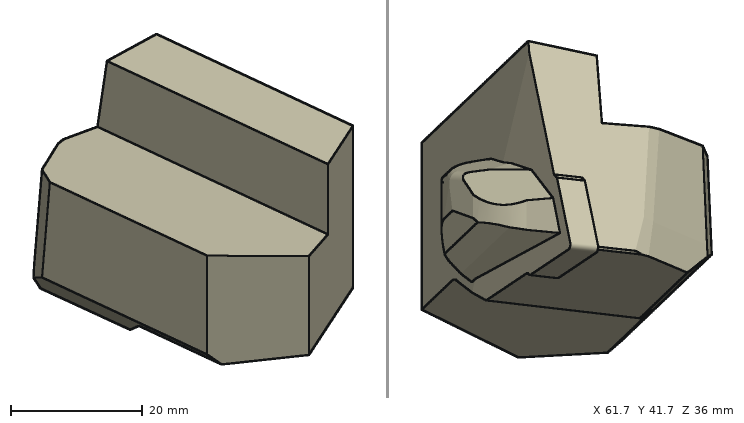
import cadquery as cq
import math

LENGTH = 61.7
TOP_Z = 36.0
BACK_Y = 34.6
RAIL_WIDTH = 11.85
SHELF_FRONT_Z = 27.2
SHELF_ANGLE = 8.0
SIDE_LOW_Z = 10.35
UNDER_CHAMFER = 10.35

TAIL_POINT_Y = 13.8
TAIL_ANGLE = 30.0

STEP_START_X = 25.4
STEP_START_Z = 0.6
STEP_HIGH_Z = 8.4
STEP_ANGLE = 35.0
STEP_RADIUS = 2.6

RELIEF_YAW = 8.0
RELIEF_PITCH = 6.0
NOSE_CORNER_X = -0.1
NOSE_CORNER_Y = 30.2
NOSE_LEAN = 10.0
STRIP_THICKNESS = 0.6
STRIP_WIDTH = 4.95
STRIP_HEIGHT = 12.95
STRIP_LENGTH = 13.3
STRIP_END_SLOPE = 0.8
STRIP_RADIUS = 0.75

FACET_SHELF = (7.65, 12.65, 25.4)
FACET_BREAK = (4.45, 14.8, 8.4)
FACET_BREAK_FRONT = (12.7, 2.65, 9.75)
FACET_BOTTOM = (2.95, 16.65, 2.15)
FRONT_SHELF = (19.0, 0.0, 27.2)
FRONT_LOW = (17.3, 0.0, 10.35)

NOSE_EDGE_SHELF = (14.5, 25.2)
NOSE_EDGE_BREAK = (16.65, 8.6)
NOSE_EDGE_BOTTOM = (18.5, 2.45)
NOSE_CHAMFER = 0.4

KNOB_RADIUS = 1.85
KNOB_END_X = 29.25
KNOB_BACK_Y = 41.65
KNOB_TOP_Z = 22.85
KNOB_ROOT_Y = 30.85

KNOB_BELLY = [(KNOB_ROOT_Y, 3.35), (36.6, 5.85), (39.85, 8.15), (41.45, 12.2), (KNOB_BACK_Y, 16.65)]
KNOB_CROWN_MIDDLE = (40.25, 20.7)
KNOB_CROWN_END = (36.4, 22.6)

KNOB_TIP = (2.5, KNOB_ROOT_Y)
KNOB_NOSE_START = (7.0, BACK_Y)
KNOB_NOSE_MIDDLE = (9.9, 37.35)
KNOB_NOSE_END = (14.8, 40.25)
KNOB_PEAK = (21.0, KNOB_BACK_Y)
KNOB_BEND_START = (23.75, 41.45)
KNOB_BEND_MIDDLE = (26.35, 40.7)
KNOB_BEND_END = (28.2, 38.9)

SLOPE_LOW_BACK = (14.45, 37.6, 17.4)
SLOPE_HIGH_BACK = (21.0, 38.9, 21.05)
SLOPE_LOW_ROOT = (14.4, 34.8, 18.7)
SLOPE_LOW_EDGE = (14.6, 40.2, 16.3)
SLOPE_BACK_EDGE = (17.45, 40.85, 17.35)
SLOPE_TOP_EDGE = (23.0, 39.6, 20.8)
SHOULDER_ROOT = (9.7, 33.3, 17.05)
CHIN_ROOT = (3.5, 31.65, 9.45)
CHIN_BACK = (9.25, 36.9, 9.55)

REACH = 123.4

yaw = math.radians(RELIEF_YAW)
pitch = math.radians(RELIEF_PITCH)
relief = cq.Plane(
    origin=(NOSE_CORNER_X, NOSE_CORNER_Y, 0),
    xDir=(math.cos(yaw), math.sin(yaw), 0),
    normal=(math.sin(yaw) * math.cos(pitch), -math.cos(yaw) * math.cos(pitch), math.sin(pitch)),
)


def nearest(point):
    return cq.selectors.NearestToPointSelector(point)


def trim(body, a, b, c, keep):
    """Cut the body along the plane through a, b and c, keeping the side of the point keep."""
    origin, second, third, inside = (cq.Vector(*p) for p in (a, b, c, keep))
    normal = (second - origin).cross(third - origin)
    if normal.dot(inside - origin) > 0:
        normal = normal * -1
    plane = cq.Plane(origin=origin, xDir=second - origin, normal=normal)
    return body.cut(cq.Workplane(plane).rect(2 * REACH, 2 * REACH).extrude(REACH))


def make_cross_section():
    rail_y = BACK_Y - RAIL_WIDTH
    shelf_back_z = SHELF_FRONT_Z - rail_y * math.tan(math.radians(SHELF_ANGLE))
    points = [
        (0, SIDE_LOW_Z), (0, SHELF_FRONT_Z), (rail_y, shelf_back_z), (rail_y, TOP_Z),
        (BACK_Y, TOP_Z), (BACK_Y, SIDE_LOW_Z - UNDER_CHAMFER), (UNDER_CHAMFER, SIDE_LOW_Z - UNDER_CHAMFER),
    ]
    return cq.Workplane("YZ").polyline(points).close().extrude(LENGTH)


def make_tail_outline():
    slope = math.tan(math.radians(TAIL_ANGLE))
    points = [
        (0, 0), (LENGTH - TAIL_POINT_Y * slope, 0), (LENGTH, TAIL_POINT_Y),
        (LENGTH - (BACK_Y - TAIL_POINT_Y) * slope, BACK_Y), (0, BACK_Y),
    ]
    return cq.Workplane("XY").polyline(points).close().extrude(TOP_Z)


def make_underside_step():
    """Material removed below the tail, with a rounded top to its ramp."""
    run = (STEP_HIGH_Z - STEP_START_Z) / math.tan(math.radians(STEP_ANGLE))
    drop = REACH * math.tan(math.radians(STEP_ANGLE))
    bend_x = STEP_START_X + run
    points = [(bend_x, STEP_HIGH_Z), (bend_x + REACH, STEP_HIGH_Z),
              (bend_x + REACH, STEP_HIGH_Z - drop), (bend_x - REACH, STEP_HIGH_Z - drop)]
    step = cq.Workplane("XZ").polyline(points).close().extrude(REACH, both=True)
    bend = nearest((bend_x, 0, STEP_HIGH_Z))
    return step.edges(bend).fillet(STEP_RADIUS)


def nose_x(height, offset):
    """Position of the leaning nose face, offset inwards, on the relief plane."""
    lean = math.radians(NOSE_LEAN)
    return height * math.tan(lean) + offset / math.cos(lean)


def nose_point(y, z):
    """Point of the block's nose face at the given Y and Z."""
    lean = math.radians(NOSE_LEAN)
    normal = relief.xDir * math.cos(lean) - relief.yDir * math.sin(lean)
    x = (STRIP_THICKNESS - normal.y * (y - NOSE_CORNER_Y) - normal.z * z) / normal.x + NOSE_CORNER_X
    return (x, y, z)


def make_nose_prism():
    t = STRIP_THICKNESS
    chamfer_top = t + NOSE_CHAMFER
    points = [
        (nose_x(chamfer_top, t), chamfer_top), (nose_x(t, t) + NOSE_CHAMFER, t),
        (REACH, t), (REACH, REACH), (nose_x(REACH, t), REACH),
    ]
    return cq.Workplane(relief).polyline(points).close().extrude(REACH)


def make_strip():
    """L-shaped strip; its inner half is sunk into the block so that they join."""
    t = STRIP_THICKNESS
    sunk = 2 * t
    outer_top = STRIP_HEIGHT - STRIP_END_SLOPE
    points = [
        (0, 0), (STRIP_LENGTH - STRIP_END_SLOPE, 0), (STRIP_LENGTH, t),
        (STRIP_LENGTH, sunk), (nose_x(STRIP_HEIGHT, sunk), sunk),
        (nose_x(STRIP_HEIGHT, sunk), STRIP_HEIGHT),
        (nose_x(STRIP_HEIGHT, t), STRIP_HEIGHT), (nose_x(outer_top, 0), outer_top),
    ]
    strip = cq.Workplane(relief).polyline(points).close().extrude(STRIP_WIDTH)
    corner = nearest(relief.toWorldCoords((0, 0, STRIP_WIDTH / 2)).toTuple())
    return strip.edges(corner).fillet(STRIP_RADIUS)


def make_block():
    block = make_cross_section().intersect(make_tail_outline())
    block = block.intersect(make_nose_prism()).cut(make_underside_step())
    middle = (LENGTH / 2, BACK_Y / 2, TOP_Z / 2)
    facets = [
        (nose_point(*NOSE_EDGE_SHELF), nose_point(*NOSE_EDGE_BREAK), FACET_BREAK),
        (nose_point(*NOSE_EDGE_BOTTOM), nose_point(*NOSE_EDGE_BREAK), FACET_BREAK),
        (FACET_SHELF, FACET_BREAK_FRONT, FACET_BREAK),
        (FACET_BREAK, FACET_BREAK_FRONT, FACET_BOTTOM),
        (FRONT_LOW, FACET_BREAK_FRONT, FRONT_SHELF),
    ]
    for a, b, c in facets:
        block = trim(block, a, b, c, middle)
    return block.union(make_strip())


def make_knob(block):
    belly_start, *belly = KNOB_BELLY
    side = cq.Workplane("YZ").moveTo(*belly_start)
    for point in belly:
        side = side.lineTo(*point)
    side = side.threePointArc(KNOB_CROWN_MIDDLE, KNOB_CROWN_END).lineTo(KNOB_ROOT_Y, KNOB_TOP_Z)
    side = side.close().extrude(KNOB_END_X)
    outline = (
        cq.Workplane("XY").moveTo(*KNOB_TIP).lineTo(*KNOB_NOSE_START)
        .threePointArc(KNOB_NOSE_MIDDLE, KNOB_NOSE_END).lineTo(*KNOB_PEAK)
        .lineTo(*KNOB_BEND_START).threePointArc(KNOB_BEND_MIDDLE, KNOB_BEND_END)
        .lineTo(KNOB_END_X, BACK_Y).lineTo(KNOB_END_X, KNOB_ROOT_Y).close().extrude(KNOB_TOP_Z)
    )
    knob = side.intersect(outline)
    inside = (KNOB_END_X - KNOB_RADIUS, BACK_Y, KNOB_TOP_Z / 2)
    knob = trim(knob, SLOPE_LOW_BACK, SLOPE_HIGH_BACK, SLOPE_LOW_ROOT, inside)
    knob = trim(knob, SLOPE_LOW_BACK, SLOPE_LOW_ROOT, SHOULDER_ROOT, inside)
    rim = nearest(SLOPE_LOW_EDGE) + nearest(SLOPE_BACK_EDGE) + nearest(SLOPE_TOP_EDGE)
    knob = knob.edges(rim).fillet(KNOB_RADIUS)
    knob = trim(knob, SHOULDER_ROOT, CHIN_BACK, CHIN_ROOT, inside)
    return knob.cut(block)


block = make_block()
knob = make_knob(block)
result = cq.Compound.makeCompound([block.val(), knob.val()])